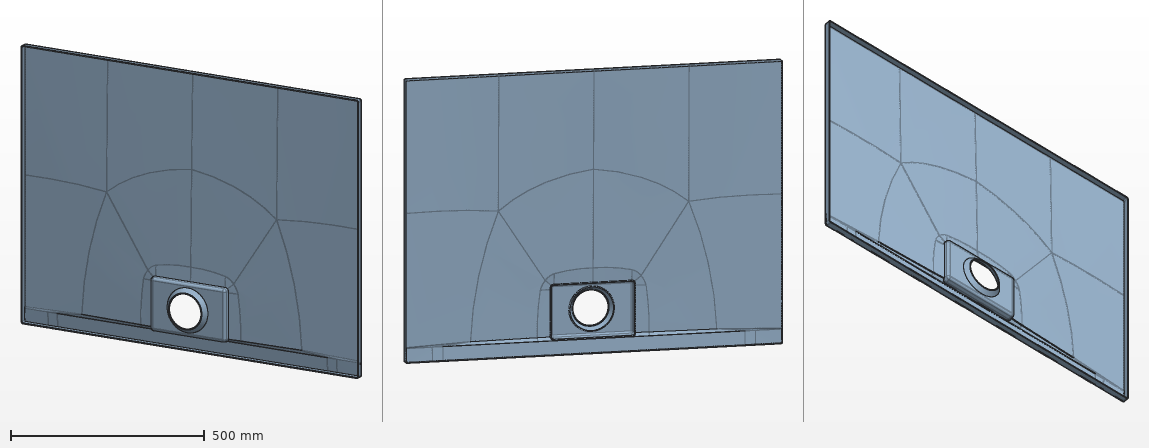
import cadquery as cq
WIDTH = 1000.0
HEIGHT = 750.0
SKIRT_DEPTH = 17.0
SHEET = 3.0
CORNER_RADIUS = 6.0
BACK_EDGE_RADIUS = 2.5

SUMP_WIDTH = 227.0
SUMP_BOTTOM = 39.5
SUMP_TOP = 187.0
OPENING_INSET = 2.5
SUMP_DEPTH = 29.0
SUMP_DRAFT = 10.0
SUMP_FILLET = 8.0
SUMP_CORNER_RADIUS = 10.0

OUTLET_DEPTH = 41.0
OUTLET_BASE_RADIUS = 60.5
OUTLET_TIP_RADIUS = 49.5
OUTLET_Z = (SUMP_BOTTOM + SUMP_TOP) / 2

KNUCKLE_DEPTH = 5.5
LOWER_CURVE_DEPTH = 4.5
BLEND_DEPTH = 10.0
FLOOR_DEPTH = 12.0
LEDGE_DEPTH = 3.0
LEDGE_RUNOUT_DEPTH = 2.7
LEDGE_SIDE_DEPTH = 2.0

LEDGE_TOP = 39.0
DISH_BOTTOM = 48.0
DISH_SIDE_BOTTOM = 42.0
LEDGE_HALF_WIDTH = 400.0
LEDGE_RUNOUT = 428.0
KNUCKLE_X = 252.0
KNUCKLE_Z = 389.0
CREASE_SIDE_Z = 397.0
INNER_X = WIDTH / 2 - SHEET
INNER_BOTTOM = SHEET
INNER_TOP = HEIGHT - SHEET


def at(x, z, depth):
    """Point on the underside, at a depth below the flat sheet."""
    return cq.Vector(x, -SHEET - depth, z)


def line(start, end):
    return cq.Edge.makeLine(start, end)


def arc(start, middle, end):
    return cq.Edge.makeThreePointArc(start, middle, end)


def curve(*points):
    return cq.Edge.makeSpline(list(points))


def patch(*edges):
    """Smooth face filling a closed ring of edges."""
    return cq.Face.makeNSidedSurface(list(edges), [])


def polygon(*points):
    return cq.Face.makeFromWires(cq.Wire.makePolygon(list(points), close=True))


def ruled(first, second):
    return cq.Face.makeRuledSurface(first, second)


def half_dish_faces():
    """Underside faces of the dish for X > 0, with the flat cap that closes them."""
    top_middle = at(0, INNER_TOP, 0)
    top_knuckle = at(KNUCKLE_X, INNER_TOP, 0)
    top_corner = at(INNER_X, INNER_TOP, 0)
    side_crease = at(INNER_X, CREASE_SIDE_Z, 0)
    side_bottom = at(INNER_X, DISH_SIDE_BOTTOM, 0)
    side_foot = at(INNER_X, LEDGE_TOP, LEDGE_SIDE_DEPTH)
    rim_corner = at(INNER_X, INNER_BOTTOM, 0)
    rim_runout = at(LEDGE_RUNOUT, INNER_BOTTOM, 0)
    rim_ledge = at(LEDGE_HALF_WIDTH, INNER_BOTTOM, 0)
    rim_middle = at(0, INNER_BOTTOM, 0)

    crown = at(0, 487, KNUCKLE_DEPTH)
    knuckle = at(KNUCKLE_X, KNUCKLE_Z, KNUCKLE_DEPTH)
    lower_curve_end = at(326, DISH_BOTTOM, LOWER_CURVE_DEPTH)
    crown_arc = curve(
        crown,
        at(105, 466, KNUCKLE_DEPTH),
        at(180, 436, KNUCKLE_DEPTH),
        knuckle,
    )
    side_curve = curve(
        knuckle,
        at(305, 394, 0.8 * KNUCKLE_DEPTH),
        at(360, 397, 0.55 * KNUCKLE_DEPTH),
        side_crease,
    )
    lower_arc = arc(knuckle, at(303, 226, (KNUCKLE_DEPTH + LOWER_CURVE_DEPTH) / 2), lower_curve_end)

    blend_middle = at(0, 225, BLEND_DEPTH)
    blend_top = at(103, 215, BLEND_DEPTH)
    blend_corner = at(127, 198, BLEND_DEPTH)
    blend_side = at(140, 173, BLEND_DEPTH)
    blend_bottom = at(148, DISH_BOTTOM, BLEND_DEPTH)
    blend_top_arc = arc(blend_middle, at(54, 223, BLEND_DEPTH), blend_top)
    blend_shoulder = arc(blend_top, at(117, 208, BLEND_DEPTH), blend_corner)
    blend_cheek = arc(blend_corner, at(135, 186, BLEND_DEPTH), blend_side)
    blend_side_arc = arc(blend_side, at(146, 120, BLEND_DEPTH), blend_bottom)

    half_sump = SUMP_WIDTH / 2 - OPENING_INSET
    opening_top = SUMP_TOP - OPENING_INSET
    sump_middle = at(0, opening_top, FLOOR_DEPTH)
    sump_top = at(blend_top.x, opening_top, FLOOR_DEPTH)
    sump_corner = at(half_sump, opening_top, FLOOR_DEPTH)
    sump_side = at(half_sump, blend_side.z, FLOOR_DEPTH)
    sump_bottom = at(half_sump, DISH_BOTTOM, FLOOR_DEPTH)
    floor_middle = at(0, DISH_BOTTOM, FLOOR_DEPTH)

    runout = at(LEDGE_RUNOUT, LEDGE_TOP, LEDGE_RUNOUT_DEPTH)
    ledge = at(LEDGE_HALF_WIDTH, LEDGE_TOP, LEDGE_DEPTH)
    ledge_blend = at(blend_bottom.x, LEDGE_TOP, LEDGE_DEPTH)
    ledge_sump = at(half_sump, LEDGE_TOP, LEDGE_DEPTH)
    ledge_middle = at(0, LEDGE_TOP, LEDGE_DEPTH)

    upper = [
        ruled(line(top_middle, top_knuckle), crown_arc),
        ruled(line(top_knuckle, top_corner), side_curve),
        patch(
            side_curve,
            line(side_crease, side_bottom),
            line(side_bottom, lower_curve_end),
            lower_arc,
        ),
    ]
    fans = [
        patch(
            crown_arc,
            line(knuckle, blend_corner),
            blend_shoulder,
            blend_top_arc,
            line(blend_middle, crown),
        ),
        patch(
            lower_arc,
            line(lower_curve_end, blend_bottom),
            blend_side_arc,
            blend_cheek,
            line(blend_corner, knuckle),
        ),
    ]
    blend = [
        ruled(blend_top_arc, line(sump_middle, sump_top)),
        ruled(blend_shoulder, line(sump_top, sump_corner)),
        ruled(blend_cheek, line(sump_corner, sump_side)),
        ruled(blend_side_arc, line(sump_side, sump_bottom)),
        polygon(sump_middle, sump_top, sump_corner, sump_side, sump_bottom, floor_middle),
    ]
    step = [
        ruled(line(side_bottom, lower_curve_end), line(side_foot, runout)),
        polygon(lower_curve_end, runout, ledge),
        ruled(line(lower_curve_end, blend_bottom), line(ledge, ledge_blend)),
        ruled(line(blend_bottom, sump_bottom), line(ledge_blend, ledge_sump)),
        ruled(line(sump_bottom, floor_middle), line(ledge_sump, ledge_middle)),
    ]
    strip = [
        polygon(rim_middle, rim_ledge, ledge, ledge_blend, ledge_sump, ledge_middle),
        ruled(line(rim_ledge, rim_runout), line(ledge, runout)),
        ruled(line(rim_runout, rim_corner), line(runout, side_foot)),
        polygon(rim_corner, side_foot, side_bottom),
    ]
    cap = polygon(
        top_middle, top_knuckle, top_corner, side_crease, side_bottom,
        rim_corner, rim_runout, rim_ledge, rim_middle,
    )
    return upper + fans + blend + step + strip + [cap]


def make_dish():
    """Solid between the flat sheet and the dished underside, mirrored about X = 0."""
    right_faces = half_dish_faces()
    left_faces = [face.mirror("YZ") for face in right_faces]
    shell = cq.Shell.makeShell(right_faces + left_faces)
    return cq.Workplane(cq.Solid.makeSolid(shell))


def y_block(width, bottom, top, depth):
    """Block centred on X, reaching from the back plane towards the underside."""
    height = top - bottom
    return (
        cq.Workplane("XZ")
        .center(0, (bottom + top) / 2)
        .rect(width, height)
        .extrude(depth)
    )


def make_tray():
    """Flat sheet with its folded rim."""
    blank = y_block(WIDTH, 0, HEIGHT, SKIRT_DEPTH)
    blank = blank.edges("|Y").fillet(CORNER_RADIUS)
    blank = blank.faces(">Y").edges().fillet(BACK_EDGE_RADIUS)
    hollow = y_block(2 * INNER_X, INNER_BOTTOM, INNER_TOP, SKIRT_DEPTH)
    hollow = hollow.edges("|Y").fillet(CORNER_RADIUS - SHEET)
    return blank.cut(hollow.translate((0, -SHEET, 0)))


def make_sump(inset):
    """Sump box, straight to the blend depth, then drafted; walls moved inwards by the inset."""
    start = SHEET + BLEND_DEPTH - inset
    outline = (
        cq.Sketch()
        .rect(SUMP_WIDTH - 2 * inset, SUMP_TOP - SUMP_BOTTOM - 2 * inset)
        .vertices()
        .fillet(SUMP_CORNER_RADIUS - inset)
    )
    plane = cq.Workplane("XZ").center(0, OUTLET_Z)
    neck = plane.placeSketch(outline).extrude(start)
    drafted = (
        plane.workplane(offset=start)
        .placeSketch(outline)
        .extrude(SUMP_DEPTH - inset - start, taper=SUMP_DRAFT)
    )
    drafted = drafted.faces("<Y").edges().fillet(SUMP_FILLET - inset)
    return neck.union(drafted)


def make_outlet(inset):
    """Cone of the drain outlet, with its wall moved inwards by the inset."""
    length = OUTLET_DEPTH - SUMP_DEPTH + inset
    cone = cq.Solid.makeCone(
        OUTLET_BASE_RADIUS - inset,
        OUTLET_TIP_RADIUS - inset,
        length,
        cq.Vector(0, inset - SUMP_DEPTH, OUTLET_Z),
        cq.Vector(0, -1, 0),
    )
    return cq.Workplane(cone)


def make_sump_outside():
    """Outside of the sump, starting at the underside of the flat sheet."""
    sheet = y_block(WIDTH, 0, HEIGHT, SHEET)
    return make_sump(0).cut(sheet)


dish = make_dish()
body = make_tray().union(dish).union(make_sump_outside()).union(make_outlet(0), clean=False)
body = body.cut(dish.translate((0, SHEET, 0)))
body = body.cut(make_sump(SHEET))
result = body.cut(make_outlet(SHEET))